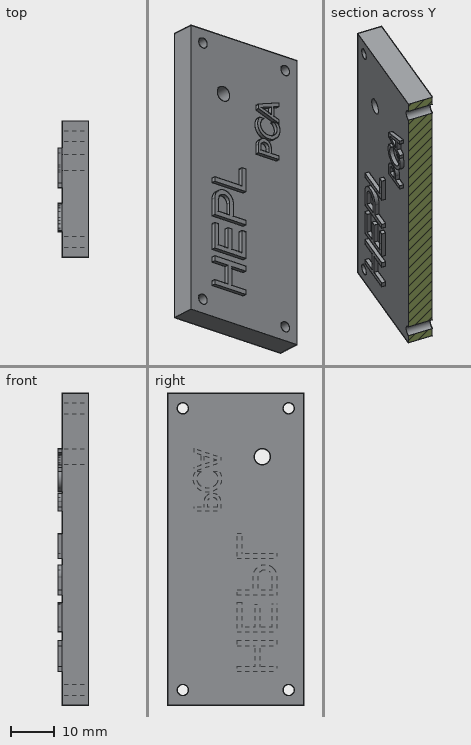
import cadquery as cq

HEIGHT = 71.0
WIDTH = 31.0
OVERALL_THICKNESS = 7.0
LETTER_RELIEF = 1.0
PLATE_THICKNESS = OVERALL_THICKNESS - LETTER_RELIEF

CORNER_HOLE_DIAMETER = 2.5
CORNER_HOLE_INSET = 3.5
LARGE_HOLE_DIAMETER = 3.6
LARGE_HOLE_Y = 6.0
LARGE_HOLE_Z = 21.0

HEPL_BASE = 0.3
HEPL_CAP = 9.1
HEPL_STROKE = 1.15
HEPL_BAR_BOTTOM = 4.1
H_START = -27.8
H_WIDTH = 7.1
H_RIGHT_STROKE = 1.3
E_START = -18.8
E_BOTTOM_ARM = 6.7
E_MIDDLE_ARM = 6.2
E_TOP_ARM = 6.4
LARGE_P_START = -10.45
LARGE_P_WIDTH = 6.9
LARGE_P_BOWL = 5.5
L_START = -2.1
L_WIDTH = 5.7

PCA_BASE = -9.45
PCA_CAP = 6.0
PCA_STROKE = 0.7
PCA_STEM = 0.9
SMALL_P_START = 8.65
SMALL_P_WIDTH = 4.05
SMALL_P_BOWL = 3.75
C_START = 13.0
C_END = 17.7
C_HALF_WIDTH = 3.0
C_HALF_HEIGHT = 3.3
C_SIDE_STROKE = 0.9
C_END_STROKE = 0.85
A_START = 17.7
A_WIDTH = 5.2
A_TOP_WIDTH = 1.15
A_FOOT = 0.9
A_INNER_APEX = 5.1
A_BAR_BOTTOM = 1.55


def letter_plane(start, base):
    """Plane on the lettered face: local x is +Z, local y is +Y, normal is -X."""
    return cq.Workplane(cq.Plane(origin=(0, base, start), xDir=(0, 0, 1), normal=(-1, 0, 0)))


def bar(plane, x, y, length, height):
    """Raised rectangle with its lower left corner at (x, y)."""
    return plane.moveTo(x, y).rect(length, height, centered=False).extrude(LETTER_RELIEF)


def letter_h():
    plane = letter_plane(H_START, HEPL_BASE)
    left = bar(plane, 0, 0, HEPL_STROKE, HEPL_CAP)
    right = bar(plane, H_WIDTH - H_RIGHT_STROKE, 0, H_RIGHT_STROKE, HEPL_CAP)
    crossbar = bar(plane, 0, HEPL_BAR_BOTTOM, H_WIDTH, HEPL_STROKE)
    return left.union(crossbar).union(right)


def letter_e():
    plane = letter_plane(E_START, HEPL_BASE)
    letter = bar(plane, 0, 0, HEPL_STROKE, HEPL_CAP)
    arms = [
        (0, E_BOTTOM_ARM),
        (HEPL_BAR_BOTTOM, E_MIDDLE_ARM),
        (HEPL_CAP - HEPL_STROKE, E_TOP_ARM),
    ]
    for bottom, length in arms:
        letter = letter.union(bar(plane, 0, bottom, length, HEPL_STROKE))
    return letter


def letter_l():
    plane = letter_plane(L_START, HEPL_BASE)
    return bar(plane, 0, 0, HEPL_STROKE, HEPL_CAP).union(bar(plane, 0, 0, L_WIDTH, HEPL_STROKE))


def half_round(plane, left, bottom, top, right):
    """Raised outline with a straight left side and a semicircular right end."""
    radius = (top - bottom) / 2
    return (
        plane.moveTo(left, bottom)
        .lineTo(right - radius, bottom)
        .threePointArc((right, bottom + radius), (right - radius, top))
        .lineTo(left, top)
        .close()
        .extrude(LETTER_RELIEF)
    )


def letter_p(plane, width, cap, bowl, stem, stroke):
    outer = half_round(plane, 0, cap - bowl, cap, width)
    inner = half_round(plane, stem, cap - bowl + stroke, cap - stroke, width - stem)
    return outer.cut(inner).union(bar(plane, 0, 0, stem, cap))


def letter_c():
    """Elliptical ring cut off straight on its open side."""
    plane = letter_plane(C_START, PCA_BASE)
    centre = plane.center(C_HALF_WIDTH, PCA_CAP / 2)
    ring = (
        centre.ellipse(C_HALF_WIDTH, C_HALF_HEIGHT)
        .ellipse(C_HALF_WIDTH - C_SIDE_STROKE, C_HALF_HEIGHT - C_END_STROKE)
        .extrude(LETTER_RELIEF)
    )
    opening = bar(centre, C_END - C_START - C_HALF_WIDTH, -C_HALF_HEIGHT, C_HALF_WIDTH, 2 * C_HALF_HEIGHT)
    return ring.cut(opening)


def letter_a():
    plane = letter_plane(A_START, PCA_BASE)
    middle = A_WIDTH / 2
    outer = plane.polyline(
        [
            (0, 0),
            (middle - A_TOP_WIDTH / 2, PCA_CAP),
            (middle + A_TOP_WIDTH / 2, PCA_CAP),
            (A_WIDTH, 0),
        ]
    ).close().extrude(LETTER_RELIEF)
    inner = plane.polyline(
        [(A_FOOT, 0), (middle, A_INNER_APEX), (A_WIDTH - A_FOOT, 0)]
    ).close().extrude(LETTER_RELIEF)
    crossbar = bar(plane, 0, A_BAR_BOTTOM, A_WIDTH, PCA_STROKE)
    return outer.cut(inner.cut(crossbar))


def drilled_plate():
    plate = cq.Workplane("XY").box(PLATE_THICKNESS, WIDTH, HEIGHT, centered=(False, True, True))
    face = cq.Workplane("YZ")
    corner_holes = (
        face.rect(WIDTH - 2 * CORNER_HOLE_INSET, HEIGHT - 2 * CORNER_HOLE_INSET, forConstruction=True)
        .vertices()
        .circle(CORNER_HOLE_DIAMETER / 2)
        .extrude(PLATE_THICKNESS)
    )
    large_hole = (
        face.center(LARGE_HOLE_Y, LARGE_HOLE_Z).circle(LARGE_HOLE_DIAMETER / 2).extrude(PLATE_THICKNESS)
    )
    return plate.cut(corner_holes).cut(large_hole)


large_p = letter_p(
    letter_plane(LARGE_P_START, HEPL_BASE),
    LARGE_P_WIDTH, HEPL_CAP, LARGE_P_BOWL, HEPL_STROKE, HEPL_STROKE,
)
small_p = letter_p(
    letter_plane(SMALL_P_START, PCA_BASE),
    SMALL_P_WIDTH, PCA_CAP, SMALL_P_BOWL, PCA_STEM, PCA_STROKE,
)

result = drilled_plate()
for raised_letter in (letter_h(), letter_e(), large_p, letter_l(), small_p, letter_c(), letter_a()):
    result = result.union(raised_letter)